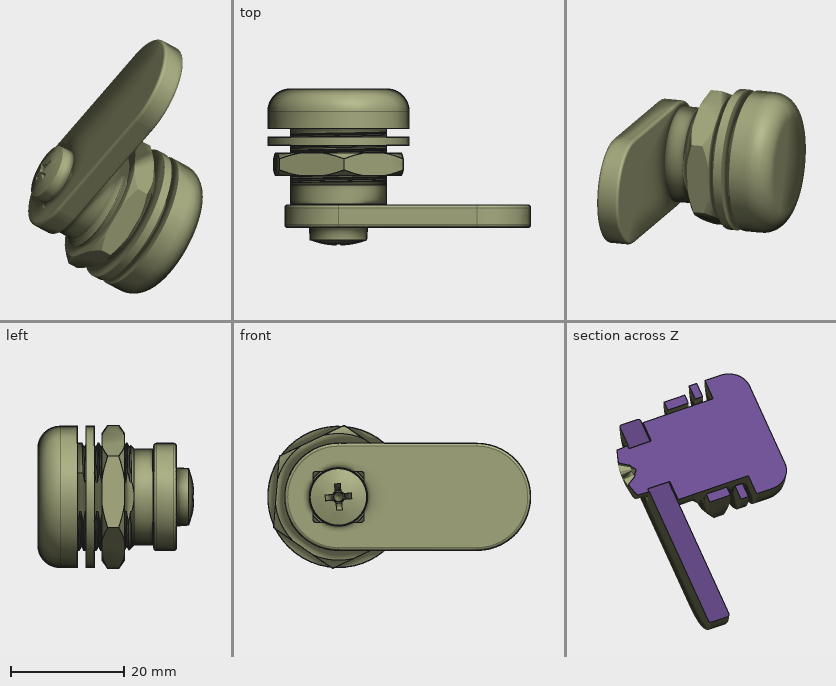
import cadquery as cq
import math


knob_diameter = 25.0
knob_length = 7.0
knob_fillet = 4.0

thread_diameter = 19.0
thread_length = 10.0
thread_turns = 10
thread_depth = 0.6
thread_crest_width = 0.1
groove_overcut = 0.05
thread_start = 0.45
barrel_diameter = 17.0
barrel_end = 20.35
thread_end = knob_length + thread_length
thread_pitch = thread_length / thread_turns
groove_root_width = thread_pitch / 4

washer_start = 8.5
washer_thickness = 1.5

nut_start = 11.35
nut_thickness = 4.0
nut_across_flats = 22.0
nut_face_diameter = 22.4
nut_bore_diameter = 18.4
nut_chamfer_length = 1.0
nut_turn = -4.6

cam_start = 20.5
cam_thickness = 4.0
cam_end_radius = 9.5
overall_length = 46.5
cam_fillet = 0.5
cam_end = cam_start + cam_thickness
cam_center_distance = overall_length - knob_diameter / 2 - cam_end_radius

drive_width = 9.0
drive_round_diameter = 11.0
drive_hole_corner_fillet = 0.5

screw_base_diameter = 10.3
screw_rim_diameter = 10.0
screw_rim_height = 2.2
screw_dome_height = 0.95
screw_turn = 4.6
screw_top = cam_end + screw_rim_height + screw_dome_height

recess_depth = 2.0
recess_slot_width = 1.0
recess_top_radius = 2.45
recess_floor_radius = 1.1
recess_center_top_radius = 1.05
recess_center_floor_radius = 0.85
recess_point_depth = 2.6


def cylinder(diameter, start, end):
    return cq.Workplane("XY").workplane(offset=start).circle(diameter / 2).extrude(end - start)


def make_knob():
    return cylinder(knob_diameter, 0, knob_length).faces("<Z").edges().fillet(knob_fillet)


def make_half_turn_groove():
    """Right-hand helical V groove with a narrow flat root, half a turn long from the -X side."""
    root_radius = thread_diameter / 2 - thread_depth
    root_half_width = groove_root_width / 2
    mouth_half_width = (thread_pitch - thread_crest_width) / 2
    mouth_radius = thread_diameter / 2 + groove_overcut
    helix = cq.Wire.makeHelix(thread_pitch, thread_pitch / 2, root_radius)
    profile = cq.Workplane("XZ").polyline([
        (root_radius, -root_half_width),
        (root_radius, root_half_width),
        (mouth_radius, mouth_half_width),
        (mouth_radius, -mouth_half_width),
    ]).close()
    groove = profile.sweep(cq.Workplane(obj=helix), isFrenet=True)
    return groove.rotate((0, 0, 0), (0, 0, 1), 180)


def make_threaded_barrel():
    """Threaded length with a chamfered end and two flats, followed by the plain length.

    The flats are deeper than the groove, so each half turn is a separate cut.
    """
    end_chamfer = (thread_diameter - barrel_diameter) / 2
    threaded = cylinder(thread_diameter, knob_length, thread_end)
    threaded = threaded.faces(">Z").edges().chamfer(end_chamfer)
    flats = cq.Workplane("XY").rect(barrel_diameter, thread_diameter).extrude(thread_end)
    threaded = threaded.intersect(flats)
    half_turn_groove = make_half_turn_groove()
    for half_turn in range(2 * thread_turns):
        groove = half_turn_groove.rotate((0, 0, 0), (0, 0, 1), 180 * half_turn)
        groove_start = knob_length + thread_start + half_turn * thread_pitch / 2
        threaded = threaded.cut(groove.translate((0, 0, groove_start)))
    return threaded.union(cylinder(barrel_diameter, knob_length, barrel_end))


def open_over_flats(ring, bore_diameter, start, end):
    """Cut the two gaps between a round bore and the barrel's flats."""
    flats = cq.Workplane("XY").rect(barrel_diameter, bore_diameter).extrude(end)
    return ring.cut(cylinder(bore_diameter, start, end).cut(flats))


def make_washer():
    washer_end = washer_start + washer_thickness
    disc = cylinder(knob_diameter, washer_start, washer_end)
    return open_over_flats(disc, thread_diameter, washer_start, washer_end)


def make_nut():
    """Hexagon with the corners of both faces turned down to a cone."""
    corner_diameter = nut_across_flats / math.cos(math.radians(30))
    corner_chamfer = (corner_diameter - nut_face_diameter) / 2
    nut_end = nut_start + nut_thickness
    hexagon = (
        cq.Workplane("XY").workplane(offset=nut_start)
        .polygon(6, corner_diameter).extrude(nut_thickness)
        .rotate((0, 0, 0), (0, 0, 1), 90 + nut_turn)
    )
    turned_blank = cylinder(corner_diameter, nut_start, nut_end)
    turned_blank = turned_blank.faces("<Z").edges().chamfer(nut_chamfer_length, corner_chamfer)
    turned_blank = turned_blank.faces(">Z").edges().chamfer(nut_chamfer_length, corner_chamfer)
    solid_nut = hexagon.intersect(turned_blank)
    return open_over_flats(solid_nut, nut_bore_diameter, nut_start, nut_end)


def make_drive():
    """Square shank with rounded corners that carries the cam."""
    length = cam_end - barrel_end
    square = cq.Workplane("XY").workplane(offset=barrel_end).rect(drive_width, drive_width).extrude(length)
    return square.intersect(cylinder(drive_round_diameter, barrel_end, cam_end))


def make_cross_recess():
    """Two crossed tapering slots around a tapering centre with a pointed bottom."""
    floor = screw_top - recess_depth
    slot = (
        cq.Workplane("XZ")
        .polyline([
            (-recess_top_radius, screw_top),
            (recess_top_radius, screw_top),
            (recess_floor_radius, floor),
            (-recess_floor_radius, floor),
        ]).close()
        .extrude(recess_slot_width / 2, both=True)
    )
    center = (
        cq.Workplane("XZ")
        .polyline([
            (0, screw_top),
            (recess_center_top_radius, screw_top),
            (recess_center_floor_radius, floor),
            (0, screw_top - recess_point_depth),
        ]).close()
        .revolve(360, (0, 0), (0, 1))
    )
    return slot.union(slot.rotate((0, 0, 0), (0, 0, 1), 90)).union(center)


def make_screw_head():
    """Tapered side with a domed top and a cross recess."""
    rim_radius = screw_rim_diameter / 2
    rim = cam_end + screw_rim_height
    dome_radius = (rim_radius ** 2 + screw_dome_height ** 2) / (2 * screw_dome_height)
    arc_radius = rim_radius / 2
    arc_height = screw_top - dome_radius + math.sqrt(dome_radius ** 2 - arc_radius ** 2)
    head = (
        cq.Workplane("XZ")
        .moveTo(0, cam_end)
        .lineTo(screw_base_diameter / 2, cam_end)
        .lineTo(rim_radius, rim)
        .threePointArc((arc_radius, arc_height), (0, screw_top))
        .close()
        .revolve(360, (0, 0), (0, 1))
    )
    return head.cut(make_cross_recess()).rotate((0, 0, 0), (0, 0, 1), screw_turn)


def make_lock():
    lock = make_knob().union(make_threaded_barrel())
    lock = lock.union(make_washer()).union(make_nut())
    return lock.union(make_drive()).union(make_screw_head())


def make_cam():
    """Round-ended arm with softened edges and a square hole for the drive."""
    end_diameter = 2 * cam_end_radius
    slot_length = cam_center_distance + end_diameter
    arm = (
        cq.Workplane("XY").workplane(offset=cam_start)
        .center(cam_center_distance / 2, 0)
        .slot2D(slot_length, end_diameter).extrude(cam_thickness)
        .faces("<Z or >Z").edges().fillet(cam_fillet)
    )
    hole = (
        cq.Workplane("XY").workplane(offset=cam_start)
        .rect(drive_width, drive_width).extrude(cam_thickness)
        .edges("|Z").fillet(drive_hole_corner_fillet)
    )
    return arm.cut(hole)


def point_forward(body):
    """Turn the modelling axis from +Z to -Y."""
    return body.rotate((0, 0, 0), (1, 0, 0), 90)


lock = point_forward(make_lock())
cam = point_forward(make_cam())

result = cq.Compound.makeCompound([lock.val(), cam.val()])